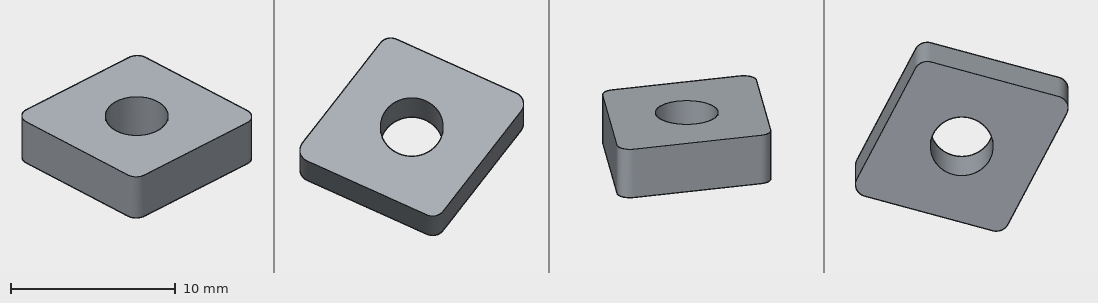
import cadquery as cq
import math

overall_length = 11.05
thickness = 3.17
nose_angle = math.radians(80.0)
nose_radius = 0.8
bore_diameter = 3.81

acute_corner_trim = nose_radius * (1 / math.tan(nose_angle / 2) - 1)
side = (overall_length + 2 * acute_corner_trim) / (1 + math.cos(nose_angle))

half_depth = side * math.sin(nose_angle) / 2
half_lean = side * math.cos(nose_angle) / 2
half_side = side / 2

corners = [
    (-half_side - half_lean, -half_depth),
    (half_side - half_lean, -half_depth),
    (half_side + half_lean, half_depth),
    (-half_side + half_lean, half_depth),
]
body = cq.Workplane("XY").polyline(corners).close().extrude(thickness)

body = body.edges("|Z").fillet(nose_radius)

result = body.faces(">Z").workplane(origin=(0, 0, thickness)).hole(bore_diameter)